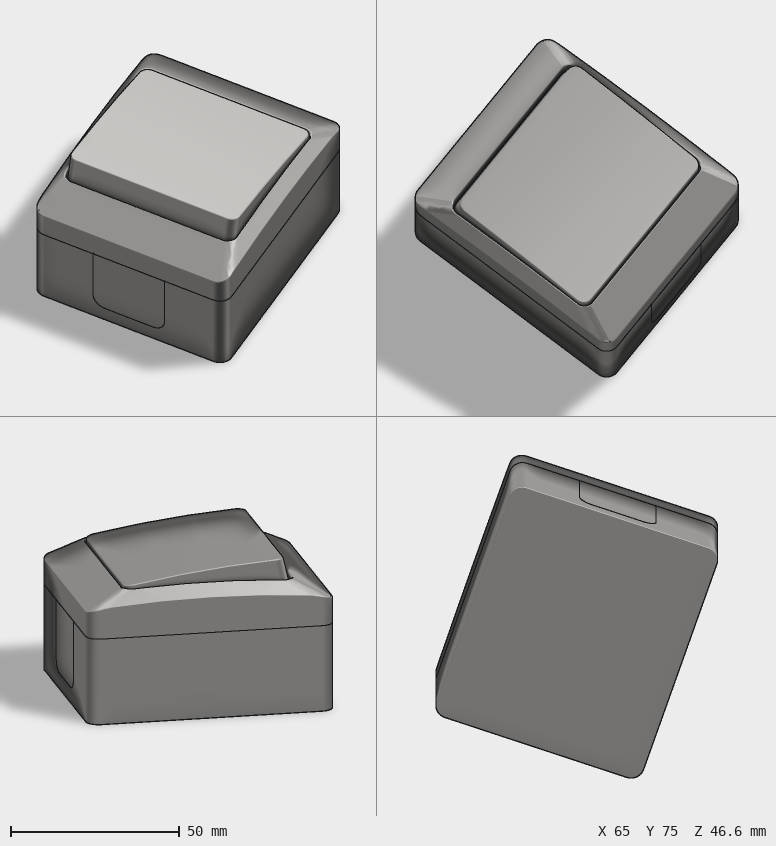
import cadquery as cq
import math

WIDTH = 65.0
LENGTH = 75.0
CORNER_RADIUS = 4.0
BASE_HEIGHT = 26.5
BOTTOM_FILLET = 0.3

PLUG_WIDTH = 24.0
PLUG_BOTTOM = 5.0
PLUG_CORNER_RADIUS = 4.0
PLUG_THICKNESS = 2.0

END_BEVEL_START = 34.4
END_BEVEL_SLOPE = 0.51
SIDE_CROWN = 37.3
SIDE_CROWN_RADIUS = 340.0
SIDE_BEVEL_SLOPE = 1.1
BEVEL_CORNER_RADIUS = 4.6
BEVEL_OUTER_FILLET = 0.5
BEVEL_OVERHANG = 10.0
BEVEL_TOP = 43.0

ROCKER_WIDTH = 56.6
ROCKER_CORNER_RADIUS = 3.0
ROCKER_TOP_FILLET = 0.4
ROCKER_BOTTOM = 36.2
ROCKER_BACK = 25.3
ROCKER_BACK_HEIGHT = 40.9
ROCKER_FRONT_TOP = -23.1
ROCKER_FRONT_HEIGHT = 46.59
ROCKER_FRONT_TILT = 13.3
ROCKER_CROWN = 0.85

WINDOW_SIDE_GAP = 0.2
WINDOW_WIDTH = ROCKER_WIDTH + 2 * WINDOW_SIDE_GAP
WINDOW_LENGTH = 51.6
WINDOW_CORNER_RADIUS = ROCKER_CORNER_RADIUS
WINDOW_EDGE_FILLET = 0.4


def rounded_block(height):
    block = cq.Workplane("XY").rect(WIDTH, LENGTH).extrude(height)
    return block.edges("|Z").fillet(CORNER_RADIUS)


def make_plugs():
    sheet = (
        cq.Workplane("XZ")
        .center(0, (PLUG_BOTTOM + BASE_HEIGHT) / 2)
        .rect(PLUG_WIDTH, BASE_HEIGHT - PLUG_BOTTOM)
        .extrude(PLUG_THICKNESS)
        .edges("|Y and <Z")
        .fillet(PLUG_CORNER_RADIUS)
    )
    front = sheet.translate((0, PLUG_THICKNESS - LENGTH / 2, 0))
    return [front, front.mirror("XZ")]


def make_base(plugs):
    base = rounded_block(BASE_HEIGHT).faces("<Z").edges().fillet(BOTTOM_FILLET)
    for plug in plugs:
        base = base.cut(plug)
    return base


def end_bevels():
    """A ridge along X whose end slopes overhang the end walls."""
    half = LENGTH / 2 + BEVEL_OVERHANG
    start = END_BEVEL_START - BEVEL_OVERHANG * END_BEVEL_SLOPE
    top_half = half - (BEVEL_TOP - start) / END_BEVEL_SLOPE
    return (
        cq.Workplane("YZ")
        .moveTo(-half, 0)
        .lineTo(-half, start)
        .lineTo(-top_half, BEVEL_TOP)
        .lineTo(top_half, BEVEL_TOP)
        .lineTo(half, start)
        .lineTo(half, 0)
        .close()
        .extrude(WIDTH / 2 + 2 * BEVEL_OVERHANG, both=True)
    )


def side_bevels():
    """A large disc about an X axis; its conical flanks are the crowned side bevels."""
    half = WIDTH / 2 + BEVEL_OVERHANG
    axis_height = SIDE_CROWN - SIDE_CROWN_RADIUS
    start = SIDE_CROWN - BEVEL_OVERHANG * SIDE_BEVEL_SLOPE
    peak = start + half * SIDE_BEVEL_SLOPE
    return (
        cq.Workplane("XZ")
        .moveTo(-half, axis_height)
        .lineTo(-half, start)
        .lineTo(0, peak)
        .lineTo(half, start)
        .lineTo(half, axis_height)
        .close()
        .revolve(360, (0, axis_height, 0), (1, axis_height, 0))
    )


def bevelled_block():
    """End and side bevels together, with the four sloping edges between them rounded."""
    block = end_bevels().intersect(side_bevels())
    corner_edges = []
    for x in (-WIDTH / 2, WIDTH / 2):
        for y in (-LENGTH / 2, LENGTH / 2):
            corner = cq.selectors.NearestToPointSelector((x, y, END_BEVEL_START))
            corner_edges.extend(block.edges(corner).vals())
    return block.newObject(corner_edges).fillet(BEVEL_CORNER_RADIUS)


def make_cover():
    walls = rounded_block(BEVEL_TOP - BASE_HEIGHT).translate((0, 0, BASE_HEIGHT))
    cover = walls.intersect(bevelled_block())

    outer_rim = cq.selectors.NearestToPointSelector((0, -LENGTH / 2, END_BEVEL_START))
    cover = cover.edges(outer_rim).fillet(BEVEL_OUTER_FILLET)

    window = (
        cq.Workplane("XY", origin=(0, 0, ROCKER_BOTTOM))
        .rect(WINDOW_WIDTH, WINDOW_LENGTH)
        .extrude(BEVEL_TOP - ROCKER_BOTTOM)
        .edges("|Z")
        .fillet(WINDOW_CORNER_RADIUS)
    )
    cover = cover.cut(window)
    window_rim_height = END_BEVEL_START + (LENGTH - WINDOW_LENGTH) / 2 * END_BEVEL_SLOPE
    window_rim = cq.selectors.NearestToPointSelector((0, -WINDOW_LENGTH / 2, window_rim_height))
    return cover.edges(window_rim).fillet(WINDOW_EDGE_FILLET)


def make_rocker():
    tilt = math.tan(math.radians(ROCKER_FRONT_TILT))
    front_bottom = ROCKER_FRONT_TOP - (ROCKER_FRONT_HEIGHT - ROCKER_BOTTOM) * tilt
    middle = (ROCKER_BACK + ROCKER_FRONT_TOP) / 2
    middle_height = (ROCKER_BACK_HEIGHT + ROCKER_FRONT_HEIGHT) / 2 + ROCKER_CROWN
    rocker = (
        cq.Workplane("YZ")
        .moveTo(front_bottom, ROCKER_BOTTOM)
        .lineTo(ROCKER_FRONT_TOP, ROCKER_FRONT_HEIGHT)
        .threePointArc((middle, middle_height), (ROCKER_BACK, ROCKER_BACK_HEIGHT))
        .lineTo(ROCKER_BACK, ROCKER_BOTTOM)
        .close()
        .extrude(ROCKER_WIDTH / 2, both=True)
    )
    rocker = rocker.faces("<Y or >Y").edges("not |X").fillet(ROCKER_CORNER_RADIUS)
    return rocker.faces(">Z").edges().fillet(ROCKER_TOP_FILLET)


plugs = make_plugs()
base = make_base(plugs)
cover = make_cover()
rocker = make_rocker()

result = cq.Compound.makeCompound(
    [base.val(), cover.val(), rocker.val(), *[plug.val() for plug in plugs]]
)